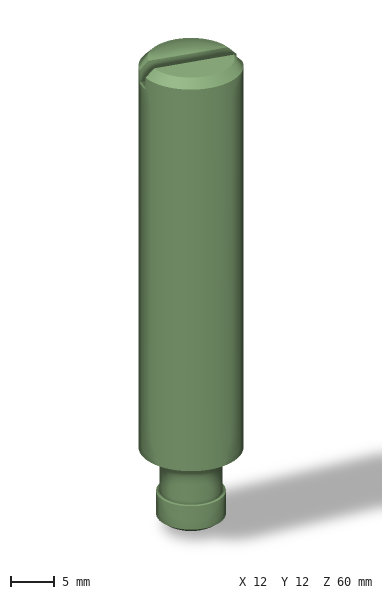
import cadquery as cq
import math

total_length = 60.0
body_diameter = 12.0
neck_diameter = 7.2
tip_diameter = 8.0
top_chamfer = 1.0
slot_width = 2.0
slot_depth = 2.5

dome_height = 1.5
tip_top = 4.5
neck_top = 9.0
body_bottom = 10.0

body_radius = body_diameter / 2
neck_radius = neck_diameter / 2
tip_radius = tip_diameter / 2

dome_radius = (tip_radius**2 + dome_height**2) / (2 * dome_height)
half_angle = math.asin(tip_radius / dome_radius) / 2
dome_middle = (
    dome_radius * math.sin(half_angle),
    dome_radius * (1 - math.cos(half_angle)),
)


def turned_pin():
    """Domed tip, neck and chamfered body, revolved about Z."""
    profile = (
        cq.Workplane("XZ")
        .moveTo(0, 0)
        .threePointArc(dome_middle, (tip_radius, dome_height))
        .lineTo(tip_radius, tip_top)
        .lineTo(neck_radius, tip_top)
        .lineTo(neck_radius, neck_top)
        .lineTo(body_radius, body_bottom)
        .lineTo(body_radius, total_length - top_chamfer)
        .lineTo(body_radius - top_chamfer, total_length)
        .lineTo(0, total_length)
        .close()
    )
    return profile.revolve(360, (0, 0, 0), (0, 1, 0))


def screwdriver_slot():
    """Cutter for the slot across the top face, running along Y."""
    return (
        cq.Workplane("XY")
        .workplane(offset=total_length - slot_depth)
        .rect(slot_width, 2 * body_diameter)
        .extrude(2 * slot_depth)
    )


result = turned_pin().cut(screwdriver_slot())